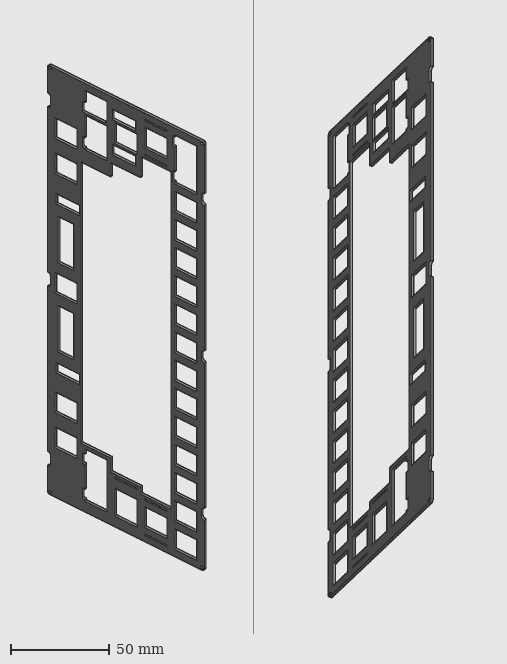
import cadquery as cq

plate_length = 290.5
plate_width = 100.0
thickness = 1.5
tilt_angle = 6.0
corner_radius = 1.7

hole_diameter = 1.85
hole_inset = 1.6

opening_radius = 0.3

number_row_span = 228.5
number_row_keys = 13
pitch = number_row_span / (number_row_keys - 1)
row_half_length = 7.5 * pitch

switch_size = 14.0

stab_height = 7.0
stab_width = 14.8
stab_shift = 1.2
stab_spacing = 23.8
space_stab_spacing = 114.5

long_slot_width = 10.0
long_slot_length = 31.5
long_slot_offset = 30.2

slit_height = 1.0
slit_offset = 12.0
caps_slit_offset = 14.2

notch_depth = 1.92
left_notch_width = 10.0
left_notch_offset = 121.5
right_notch_width = 8.0
right_notch_offset = 106.5

bottom_row, shift_row, caps_row, tab_row, number_row = [i * pitch for i in (-2, -1, 0, 1, 2)]


def from_start(keys):
    """Along position at a distance, in key pitches, from the lower row end."""
    return keys * pitch - row_half_length


def from_end(keys):
    """Along position at a distance, in key pitches, from the upper row end."""
    return row_half_length - keys * pitch


def opening(across, along, width, height):
    """Rectangular cutter through the plate with rounded corners, centred on the given point."""
    block = cq.Workplane("XZ").center(across, along).rect(width, height).extrude(thickness, both=True)
    return block.edges("|Y").fillet(opening_radius).val()


def switch(row, along):
    return opening(row, along, switch_size, switch_size)


def merged_switches(row, first, last):
    """One opening covering every switch place from first to last."""
    return opening(row, (first + last) / 2, switch_size, abs(last - first) + switch_size)


def stab_pair(row, along, spacing, shift):
    """Two stabilizer openings placed evenly about a wide key."""
    lower = opening(row + shift, along - spacing / 2, stab_width, stab_height)
    upper = opening(row + shift, along + spacing / 2, stab_width, stab_height)
    return [lower, upper]


def slit(row, along):
    return opening(row, along, switch_size, slit_height)


def number_row_cuts():
    cuts = [switch(number_row, from_start(i + 0.5)) for i in range(number_row_keys)]
    cuts.append(merged_switches(number_row, from_end(1.5), from_end(0.5)))
    return cuts + stab_pair(number_row, from_end(1), stab_spacing, -stab_shift)


def tab_row_cuts():
    cuts = []
    for key in (from_start(0.75), from_end(0.75)):
        cuts.append(switch(tab_row, key))
        cuts.append(slit(tab_row, key - slit_offset))
        cuts.append(slit(tab_row, key + slit_offset))
    return cuts


def caps_row_cuts():
    stepped_caps, caps = from_start(0.625), from_start(0.875)
    enter = from_end(1.125)
    cuts = [merged_switches(caps_row, stepped_caps, caps)]
    cuts.append(slit(caps_row, caps + caps_slit_offset))
    cuts.append(switch(caps_row, enter))
    return cuts + stab_pair(caps_row, enter, stab_spacing, -stab_shift)


def shift_row_cuts():
    cuts = [merged_switches(shift_row, from_start(0.625), from_start(1.75))]
    cuts += stab_pair(shift_row, from_start(1.125), stab_spacing, -stab_shift)
    cuts.append(switch(shift_row, from_end(0.5)))
    cuts.append(merged_switches(shift_row, from_end(1.875), from_end(1.375)))
    return cuts + stab_pair(shift_row, from_end(1.375), stab_spacing, -stab_shift)


def bottom_row_cuts():
    cuts = [switch(bottom_row, 0)]
    for side in (-1, 1):
        cuts.append(switch(bottom_row, side * 4.25 * pitch))
        cuts.append(switch(bottom_row, side * 5.5 * pitch))
        cuts.append(opening(bottom_row, side * long_slot_offset, long_slot_width, long_slot_length))
    return cuts + stab_pair(bottom_row, 0, space_stab_spacing, stab_shift)


def central_window():
    """Stepped window over the three middle rows, ending at the wide keys of each row."""
    windows = (
        (shift_row, from_start(2.25), from_end(2.75)),
        (caps_row, from_start(1.75), from_end(2.25)),
        (tab_row, from_start(1.5), from_end(1.5)),
    )
    lower_edge, upper_edge = [], []
    for row, low, high in windows:
        for across in (row - pitch / 2, row + pitch / 2):
            lower_edge.append((across, low))
            upper_edge.append((across, high))
    outline = lower_edge + upper_edge[::-1]
    window = cq.Workplane("XZ").polyline(outline).close().extrude(thickness, both=True)
    return window.edges("|Y").fillet(opening_radius).val()


def corner_holes():
    """One small round hole inside each corner of the sheet."""
    span_across = plate_width - 2 * hole_inset
    span_along = plate_length - 2 * hole_inset
    corners = cq.Workplane("XZ").rect(span_across, span_along, forConstruction=True).vertices()
    return corners.circle(hole_diameter / 2).extrude(thickness, both=True).vals()


def edge_notches(side, width, offset):
    """Three notches along one long edge, each a round-ended slot centred on that edge."""
    places = [(side * plate_width / 2, along) for along in (-offset, 0, offset)]
    slots = cq.Workplane("XZ").pushPoints(places).slot2D(width, 2 * notch_depth, 90)
    return slots.extrude(thickness, both=True).vals()


plate = cq.Workplane("XZ").rect(plate_width, plate_length).extrude(thickness / 2, both=True)
plate = plate.edges("|Y").fillet(corner_radius)

cutters = number_row_cuts() + tab_row_cuts() + caps_row_cuts() + shift_row_cuts()
cutters += bottom_row_cuts() + [central_window()] + corner_holes()
cutters += edge_notches(-1, left_notch_width, left_notch_offset)
cutters += edge_notches(1, right_notch_width, right_notch_offset)
plate = plate.val().cut(*cutters)

result = cq.Workplane(plate).rotate((0, 0, 0), (0, 0, 1), tilt_angle)